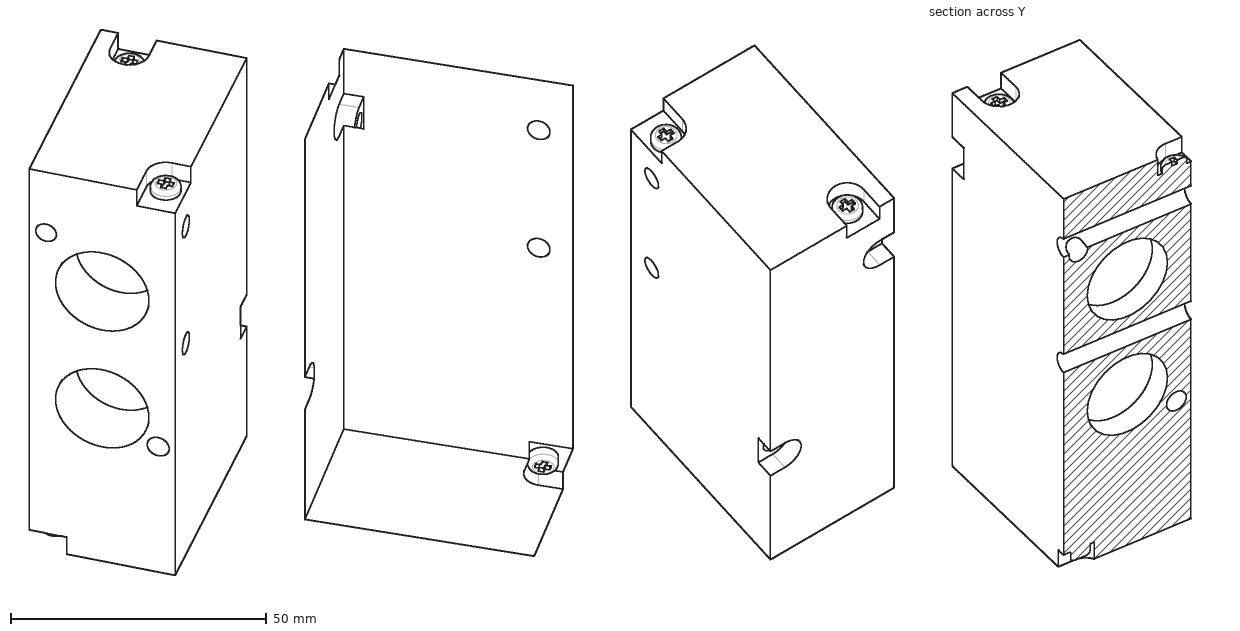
import cadquery as cq

WIDTH = 30.0
DEPTH = 46.4
HEIGHT = 94.0
LEFT, RIGHT = -WIDTH / 2, WIDTH / 2
FRONT, BACK = -DEPTH / 2, DEPTH / 2

PORT_MOUTH_DIAMETER = 19.2
PORT_FLOOR_DIAMETER = 18.4
PORT_DEPTH = 12.0
PORT_SPACING = 29.0
PORT_MIDDLE = 52.5

LEFT_MOUNT_DIAMETER = 4.2
RIGHT_MOUNT_DIAMETER = 4.5
MOUNT_FROM_SIDE = 3.5
MOUNT_MIDDLE = 55.1
MOUNT_RISE = 23.9
MOUNT_RECESS_WIDTH = 7.9
MOUNT_RECESS_DEPTH = 4.0

CROSS_DIAMETER = 4.5
CROSS_FROM_FRONT = 7.0

TOP_POCKET_DEPTH = 3.95
TOP_POCKET_DIAMETER = 7.9
BASE_POCKET_DEPTH = 4.2
BASE_POCKET_DIAMETER = 7.5

HEAD_DIAMETER = 6.0
HEAD_ROUNDING = 0.89
TOP_HEAD_HEIGHT = 1.9
BASE_HEAD_HEIGHT = 2.5
DRIVER_LENGTH = 3.1
DRIVER_WIDTH = 1.1
DRIVER_DEPTH = 0.9

BACK_SCREW = (LEFT + 7.5, BACK - 5.3)
FRONT_SCREW = (RIGHT - 3.95, FRONT + 6.3)
BASE_SCREW = (LEFT + 3.95, FRONT + 5.1)


def port(z):
    """Tapered blind port, narrowing from the front face inwards."""
    return (
        cq.Workplane("XZ", origin=(0, FRONT, z))
        .circle(PORT_MOUTH_DIAMETER / 2)
        .workplane(offset=-PORT_DEPTH)
        .circle(PORT_FLOOR_DIAMETER / 2)
        .loft()
    )


def mounting_hole(side, diameter):
    """Through hole near one side (-1 left, +1 right), with a round-ended recess open to side and back."""
    x = side * (RIGHT - MOUNT_FROM_SIDE)
    z = MOUNT_MIDDLE - side * MOUNT_RISE
    hole = cq.Workplane("XZ", origin=(x, FRONT, z)).circle(diameter / 2).extrude(-DEPTH)
    back_plane = cq.Workplane("XZ", origin=(x, BACK, z))
    recess = back_plane.circle(MOUNT_RECESS_WIDTH / 2).extrude(MOUNT_RECESS_DEPTH)
    opening = (
        back_plane.center(side * MOUNT_FROM_SIDE, 0)
        .rect(2 * MOUNT_FROM_SIDE, MOUNT_RECESS_WIDTH)
        .extrude(MOUNT_RECESS_DEPTH)
    )
    return hole.union(recess).union(opening)


def cross_hole(z):
    """Through hole from the left face to the right face."""
    return (
        cq.Workplane("YZ", origin=(LEFT, FRONT + CROSS_FROM_FRONT, z))
        .circle(CROSS_DIAMETER / 2)
        .extrude(WIDTH)
    )


def box_between(corner, opposite):
    """Box spanning two opposite corners."""
    sizes = [end - start for start, end in zip(corner, opposite)]
    return cq.Workplane("XY", origin=corner).box(*sizes, centered=False)


def edge_pocket(centre, diameter, bottom, top):
    """Round-ended pocket, concentric with a screw and open to the back face."""
    x, y = centre
    radius = diameter / 2
    round_end = cq.Workplane("XY", origin=(x, y, bottom)).circle(radius).extrude(top - bottom)
    return round_end.union(box_between((x - radius, y, bottom), (x + radius, BACK, top)))


def corner_pocket(centre, diameter, side, bottom, top):
    """Pocket open to the front face and one side face (-1 left, +1 right), with a round inner corner."""
    x, y = centre
    inner_x = x - side * diameter / 2
    side_x = side * RIGHT
    pocket = box_between(
        (min(inner_x, side_x), FRONT, bottom),
        (max(inner_x, side_x), y + diameter / 2, top),
    )
    inner_edge = "|Z and >Y and <X" if side > 0 else "|Z and >Y and >X"
    return pocket.edges(inner_edge).fillet(diameter / 2)


def screw_head(height):
    """Screw head standing on the XY plane, with its driver recess on top."""
    head = cq.Workplane("XY").circle(HEAD_DIAMETER / 2).extrude(height)
    head = head.faces(">Z").edges().fillet(HEAD_ROUNDING)
    top = cq.Workplane("XY", origin=(0, 0, height))
    for length, width in ((DRIVER_LENGTH, DRIVER_WIDTH), (DRIVER_WIDTH, DRIVER_LENGTH)):
        head = head.cut(top.rect(length, width).extrude(-DRIVER_DEPTH))
    return head


result = cq.Workplane("XY").box(WIDTH, DEPTH, HEIGHT, centered=(True, True, False))

for offset in (-PORT_SPACING / 2, PORT_SPACING / 2):
    result = result.cut(port(PORT_MIDDLE + offset))

for side, diameter in ((-1, LEFT_MOUNT_DIAMETER), (1, RIGHT_MOUNT_DIAMETER)):
    result = result.cut(mounting_hole(side, diameter))

for z in (PORT_MIDDLE, PORT_MIDDLE + PORT_SPACING):
    result = result.cut(cross_hole(z))

top_floor = HEIGHT - TOP_POCKET_DEPTH
result = result.cut(edge_pocket(BACK_SCREW, TOP_POCKET_DIAMETER, top_floor, HEIGHT))
result = result.cut(corner_pocket(FRONT_SCREW, TOP_POCKET_DIAMETER, 1, top_floor, HEIGHT))
result = result.cut(corner_pocket(BASE_SCREW, BASE_POCKET_DIAMETER, -1, 0, BASE_POCKET_DEPTH))

for x, y in (BACK_SCREW, FRONT_SCREW):
    result = result.union(screw_head(TOP_HEAD_HEIGHT).translate((x, y, top_floor)))
base_head = screw_head(BASE_HEAD_HEIGHT).rotate((0, 0, 0), (1, 0, 0), 180)
result = result.union(base_head.translate((*BASE_SCREW, BASE_POCKET_DEPTH)))